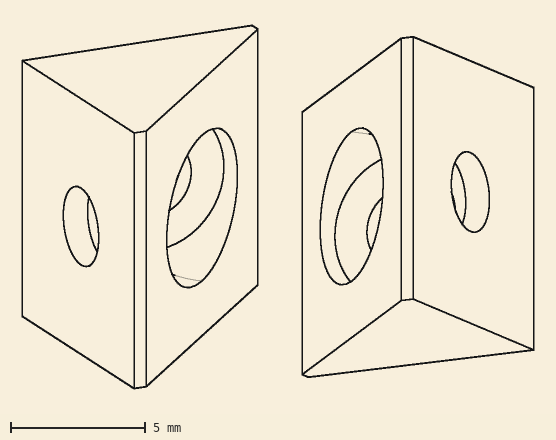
import cadquery as cq

leg = 9.5
height = 10.0
end_land = 0.5
hole_diameter = 3.0
hole_offset = 5.0
counterbore_diameter = 5.7
seat_thickness = 1.0

block = (
    cq.Workplane("XY")
    .polyline([(0, 0), (leg, 0), (leg, end_land), (end_land, leg), (0, leg)])
    .close()
    .extrude(height)
)


def counterbored_hole(start, direction):
    """Cutter for a hole from a leg face, counterbored from the slanted side."""
    hole = cq.Solid.makeCylinder(hole_diameter / 2, leg, start, direction)
    counterbore_start = start + direction * seat_thickness
    counterbore = cq.Solid.makeCylinder(counterbore_diameter / 2, leg, counterbore_start, direction)
    return cq.Workplane(hole).union(cq.Workplane(counterbore))


hole_along_x = counterbored_hole(cq.Vector(0, hole_offset, height / 2), cq.Vector(1, 0, 0))
hole_along_y = counterbored_hole(cq.Vector(hole_offset, 0, height / 2), cq.Vector(0, 1, 0))

result = block.cut(hole_along_x).cut(hole_along_y)